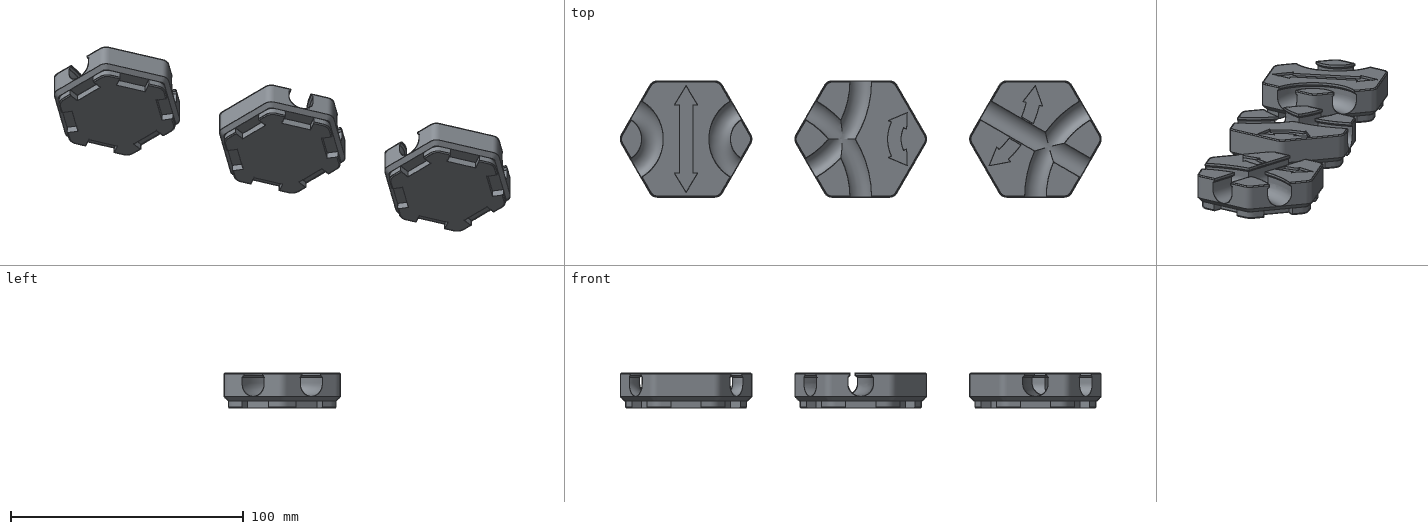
import cadquery as cq
import math

TOTAL_LENGTH = 206.5
FLATS = 50.0
HEIGHT = 15.0
CORNER_RADIUS = 4.0
TOP_CHAMFER = 0.5

BASE_HEIGHT = 3.0
BASE_CORNER_RADIUS = 4.5
BASE_CHAMFER = 0.5
RIM_BEVEL = 1.9
BASE_FLATS = FLATS - 2 * RIM_BEVEL

NOTCH_WIDTH = 13.0
NOTCH_DEPTH = 4.7

TROUGH_WIDTH = 11.0
TROUGH_CENTRE_Z = 10.5
LIP_Z = 13.2
OPENING_WIDTH = 9.3

ARROW_DEPTH = 1.0
SHAFT_WIDTH = 5.8
STRAIGHT_HEAD_WIDTH = 10.0
ARROW_NECK = 14.7
ARROW_TIP = 23.0
BENT_HEAD_WIDTH = 8.7
TIGHT_NECK_ANGLE = 25
TIGHT_TIP_ANGLE = 52
WIDE_NECK_ANGLE = 16.8
WIDE_TIP_ANGLE = 27.3
ARROW_GAP = 0.6

SIDE = FLATS / math.sqrt(3)
ROUNDED_LENGTH = 2 * SIDE - 2 * CORNER_RADIUS * (2 / math.sqrt(3) - 1)
PITCH = (TOTAL_LENGTH - ROUNDED_LENGTH) / 2
TIGHT_BEND = SIDE / 2
WIDE_BEND = 1.5 * SIDE
STAR_POINT = SIDE * math.sqrt(3)


def polar(radius, angle):
    """Point at a distance and an angle in degrees from the tile centre."""
    return (radius * math.cos(math.radians(angle)), radius * math.sin(math.radians(angle)))


def rounded_hexagon(flats, corner_radius, bottom, height):
    """Hexagonal prism with flats facing +Y and -Y and rounded upright edges."""
    corner_distance = 2 * flats / math.sqrt(3)
    prism = cq.Workplane("XY").workplane(offset=bottom).polygon(6, corner_distance).extrude(height)
    return prism.edges("|Z").fillet(corner_radius)


def base():
    """Hexagonal base with a notch in each side, leaving a foot under each corner."""
    body = rounded_hexagon(BASE_FLATS, BASE_CORNER_RADIUS, 0, BASE_HEIGHT).faces("<Z").chamfer(BASE_CHAMFER)
    notch = cq.Workplane("XY").box(2 * NOTCH_DEPTH, NOTCH_WIDTH, 2 * BASE_HEIGHT)
    notch = notch.translate((BASE_FLATS / 2, 0, 0))
    for side in range(6):
        body = body.cut(notch.rotate((0, 0, 0), (0, 0, 1), 30 + 60 * side))
    return body


def blank():
    """Tile without channels."""
    body = rounded_hexagon(FLATS, CORNER_RADIUS, BASE_HEIGHT, HEIGHT - BASE_HEIGHT)
    body = body.faces("<Z").chamfer(RIM_BEVEL)
    body = body.faces(">Z").chamfer(TOP_CHAMFER)
    return body.union(base())


def channel_section():
    """Upright channel section, drawn in XZ and centred on x = 0, left open past the top face."""
    half_trough = TROUGH_WIDTH / 2
    half_opening = OPENING_WIDTH / 2
    mouth_z = LIP_Z + half_trough - half_opening
    clear_z = HEIGHT + 2
    return [
        (half_trough, LIP_Z),
        (half_opening, mouth_z),
        (half_opening, clear_z),
        (-half_opening, clear_z),
        (-half_opening, mouth_z),
        (-half_trough, LIP_Z),
        (-half_trough, TROUGH_CENTRE_Z),
    ]


def channel_profile(plane, offset):
    """Closed channel section on an upright plane, shifted sideways by an offset."""
    points = [(offset + x, z) for x, z in channel_section()]
    right_side = offset + TROUGH_WIDTH / 2
    return (
        cq.Workplane(plane)
        .moveTo(right_side, TROUGH_CENTRE_Z)
        .polyline(points, includeCurrent=True)
        .threePointArc((offset, TROUGH_CENTRE_Z - TROUGH_WIDTH / 2), (right_side, TROUGH_CENTRE_Z))
        .close()
    )


def bent_channel(distance, angle, bend_radius):
    """Channel running round an upright axis that lies at a distance and angle from the tile centre."""
    ring = channel_profile("XZ", bend_radius).revolve(360, (0, 0, 0), (0, 1, 0))
    return ring.translate((distance, 0, 0)).rotate((0, 0, 0), (0, 0, 1), angle)


def straight_channel(angle):
    """Channel through the tile centre, running at an angle in degrees."""
    return channel_profile("YZ", 0).extrude(FLATS, both=True).rotate((0, 0, 0), (0, 0, 1), angle)


def pocket(outline):
    """Shallow cutter that sinks an outline into the top face."""
    return outline.extrude(2 * ARROW_DEPTH).translate((0, 0, HEIGHT - ARROW_DEPTH))


def straight_arrow():
    """Double-headed arrow along Y through the tile centre."""
    quarter = [(SHAFT_WIDTH / 2, ARROW_NECK), (STRAIGHT_HEAD_WIDTH / 2, ARROW_NECK), (0, ARROW_TIP)]
    right = [(x, -y) for x, y in reversed(quarter)] + quarter
    left = [(-x, -y) for x, y in right[1:-1]]
    return pocket(cq.Workplane("XY").polyline(right + left).close())


def bent_arrow(distance, angle, bend_radius, neck_angle, tip_angle):
    """Double-headed arrow curved round an axis at a distance and angle from the tile centre."""
    inner = bend_radius - SHAFT_WIDTH / 2
    outer = bend_radius + SHAFT_WIDTH / 2
    inner_barb = bend_radius - BENT_HEAD_WIDTH / 2
    outer_barb = bend_radius + BENT_HEAD_WIDTH / 2
    outline = (
        cq.Workplane("XY")
        .moveTo(*polar(outer, -neck_angle))
        .threePointArc((outer, 0), polar(outer, neck_angle))
        .lineTo(*polar(outer_barb, neck_angle))
        .lineTo(*polar(bend_radius, tip_angle))
        .lineTo(*polar(inner_barb, neck_angle))
        .lineTo(*polar(inner, neck_angle))
        .threePointArc((inner, 0), polar(inner, -neck_angle))
        .lineTo(*polar(inner_barb, -neck_angle))
        .lineTo(*polar(bend_radius, -tip_angle))
        .lineTo(*polar(outer_barb, -neck_angle))
        .close()
    )
    return pocket(outline).rotate((0, 0, 0), (0, 0, 1), 180).translate((distance, 0, 0)).rotate(
        (0, 0, 0), (0, 0, 1), angle
    )


def tight_bends_tile():
    """Two tight bends round opposite corners, with a straight arrow between them."""
    body = blank()
    for angle in (0, 180):
        body = body.cut(bent_channel(SIDE, angle, TIGHT_BEND))
    return body.cut(straight_arrow())


def wide_bends_tile():
    """Two wide bends that cross each other, with an arrow bent round the corner opposite them."""
    body = blank()
    for angle in (150, 210):
        body = body.cut(bent_channel(STAR_POINT, angle, WIDE_BEND))
    return body.cut(bent_arrow(SIDE, 0, TIGHT_BEND, TIGHT_NECK_ANGLE, TIGHT_TIP_ANGLE))


def crossing_tile():
    """A straight channel crossed by a wide bend, and a wide arrow that stops short of the channel."""
    channel_angle = -30
    body = blank().cut(straight_channel(channel_angle))
    body = body.cut(bent_channel(STAR_POINT, channel_angle, WIDE_BEND))
    rim = cq.Workplane("XY").rect(2 * FLATS, OPENING_WIDTH + 2 * ARROW_GAP).extrude(2 * HEIGHT)
    rim = rim.rotate((0, 0, 0), (0, 0, 1), channel_angle)
    arrow = bent_arrow(STAR_POINT, channel_angle + 180, WIDE_BEND, WIDE_NECK_ANGLE, WIDE_TIP_ANGLE)
    return body.cut(arrow.cut(rim))


left_tile = tight_bends_tile().translate((-PITCH, 0, 0))
middle_tile = wide_bends_tile()
right_tile = crossing_tile().translate((PITCH, 0, 0))

result = cq.Compound.makeCompound([left_tile.val(), middle_tile.val(), right_tile.val()])